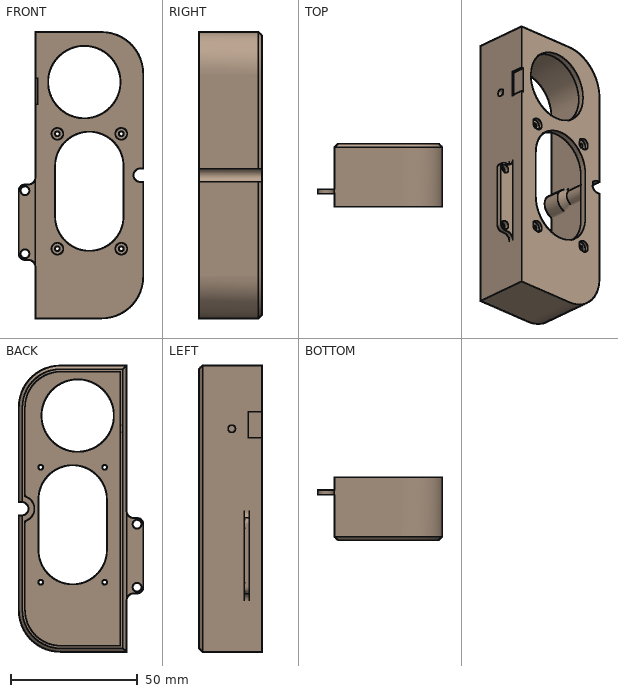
import cadquery as cq

width = 42.6
depth = 25.0
height = 113.0
corner_radius = 16.5
wall = 2.5
rim_chamfer = 1.5

round_diameter = 28.5
round_x, round_z = 19.3, 93.2
slot_width = 26.9
slot_length = 46.9
slot_x = width / 2
slot_z = 50.2

screw_spacing_x = 25.2
screw_spacing_z = 45.3
screw_diameter = 1.8
counterbore_diameter = 4.6
counterbore_depth = 1.5

groove_radius = 2.6
groove_inset = 1.2
groove_x = width - groove_inset
groove_z = height / 2
rib_front_radius = 3.5
rib_back_radius = 5.0
rib_taper_start, rib_taper_end = 13.8, 17.5
rib_fillet = 1.0
selection_margin = 0.1

tab_reach = 6.5
tab_front = 5.1
tab_thickness = 1.9
tab_bottom, tab_top = 23.0, 52.9
tab_corner = 2.5
tab_flare = 2.7
tab_hole_diameter = 3.4

recess_inset = 1.0
recess_depth = 5.4
recess_bottom, recess_top = 84.4, 94.8
side_hole_diameter = 2.9
side_hole_y, side_hole_z = 12.0, 88.0


def plane_at(y):
    """XZ plane at the given Y; negative extrusions run toward +Y."""
    return cq.Workplane(cq.Plane(origin=(0, y, 0), xDir=(1, 0, 0), normal=(0, -1, 0)))


def rounded_block(inset, start, end):
    """Block with both right-hand corners rounded, inset from the housing outline."""
    return (
        plane_at(start)
        .moveTo(width / 2, height / 2)
        .rect(width - 2 * inset, height - 2 * inset)
        .extrude(start - end)
        .edges("|Y and >X")
        .fillet(corner_radius - inset)
    )


def cylinder(x, z, diameter, start, end):
    return plane_at(start).moveTo(x, z).circle(diameter / 2).extrude(start - end)


def make_rib():
    """Round rib along Y that widens through a cone toward the open back."""
    return (
        cq.Workplane("XY", origin=(groove_x, 0, groove_z))
        .polyline([
            (0, 0),
            (rib_front_radius, 0),
            (rib_front_radius, rib_taper_start),
            (rib_back_radius, rib_taper_end),
            (rib_back_radius, depth),
            (0, depth),
        ])
        .close()
        .revolve(360, (0, 0, 0), (0, 1, 0))
    )


def make_shell():
    outer = rounded_block(0, 0, depth).faces(">Y").edges().chamfer(rim_chamfer)
    cavity = rounded_block(wall, wall, depth).cut(make_rib())
    inner_face = width - wall
    rib_roots = cq.selectors.BoxSelector(
        (inner_face - selection_margin, 0, groove_z - rib_back_radius),
        (inner_face + selection_margin, depth, groove_z + rib_back_radius),
    )
    cavity = cavity.edges(rib_roots).fillet(rib_fillet)
    return outer.cut(cavity)


def make_front_openings():
    openings = cylinder(round_x, round_z, round_diameter, 0, wall)
    slot = plane_at(0).moveTo(slot_x, slot_z).slot2D(slot_length, slot_width, 90).extrude(-wall)
    openings = openings.union(slot)
    for side in (-1, 1):
        for level in (-1, 1):
            x = slot_x + side * screw_spacing_x / 2
            z = slot_z + level * screw_spacing_z / 2
            openings = openings.union(cylinder(x, z, screw_diameter, 0, wall))
            openings = openings.union(cylinder(x, z, counterbore_diameter, 0, counterbore_depth))
    return openings


def make_groove():
    """Round-bottomed channel open to the right, running the full depth."""
    round_bottom = cylinder(groove_x, groove_z, 2 * groove_radius, 0, depth)
    mouth = (
        plane_at(0)
        .moveTo(groove_x + groove_radius / 2, groove_z)
        .rect(groove_radius, 2 * groove_radius)
        .extrude(-depth)
    )
    return round_bottom.union(mouth)


def make_tab():
    """Plate with rounded outer corners, flared where it meets the wall, root buried in the wall."""
    root = wall / 2
    tab = (
        plane_at(tab_front)
        .moveTo(root, tab_bottom - tab_flare)
        .lineTo(0, tab_bottom - tab_flare)
        .radiusArc((-tab_flare, tab_bottom), -tab_flare)
        .lineTo(-tab_reach + tab_corner, tab_bottom)
        .radiusArc((-tab_reach, tab_bottom + tab_corner), tab_corner)
        .lineTo(-tab_reach, tab_top - tab_corner)
        .radiusArc((-tab_reach + tab_corner, tab_top), tab_corner)
        .lineTo(-tab_flare, tab_top)
        .radiusArc((0, tab_top + tab_flare), -tab_flare)
        .lineTo(root, tab_top + tab_flare)
        .close()
        .extrude(-tab_thickness)
    )
    for z in (tab_bottom + tab_corner, tab_top - tab_corner):
        hole = cylinder(-tab_reach + tab_corner, z, tab_hole_diameter, tab_front, tab_front + tab_thickness)
        tab = tab.cut(hole)
    return tab


def make_left_wall_cuts():
    recess = cq.Workplane("XY").box(
        recess_inset, recess_depth, recess_top - recess_bottom, centered=False
    ).translate((0, 0, recess_bottom))
    side_hole = (
        cq.Workplane("YZ").moveTo(side_hole_y, side_hole_z).circle(side_hole_diameter / 2).extrude(wall)
    )
    return recess.union(side_hole)


result = (
    make_shell()
    .cut(make_front_openings())
    .cut(make_groove())
    .cut(make_left_wall_cuts())
    .union(make_tab())
)